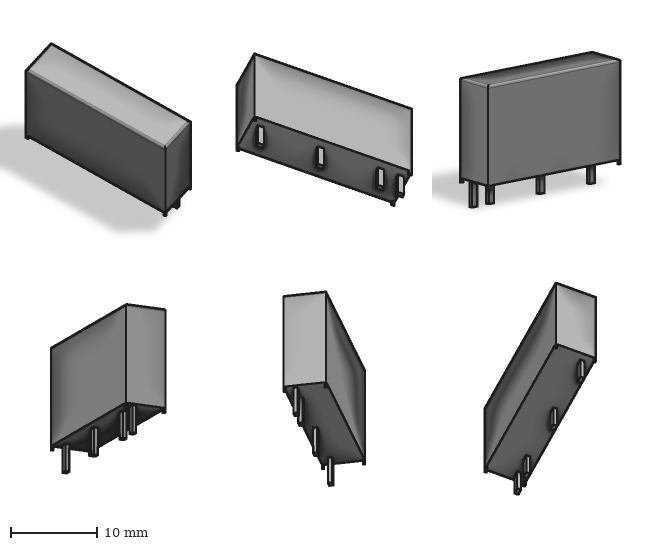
import cadquery as cq

case_length = 20.0
case_width = 5.09
case_top = 12.5
top_edge_radius = 0.3

foot_height = 0.5
left_foot_length = 0.38
right_foot_length = 0.25
foot_width = 0.2

grid = 2.54
pin_grid_steps = (0, 1, 4, 7)
pin_length_x = 0.8
pin_thickness_y = 0.5
pin_tip_z = -2.8
first_pin_from_left = 0.92
pin_row_from_back = 1.3


def make_case():
    """Block above the feet, rounded along its four top edges."""
    block = cq.Workplane("XY").workplane(offset=foot_height).box(
        case_length, case_width, case_top - foot_height, centered=(True, True, False)
    )
    return block.faces(">Z").edges().fillet(top_edge_radius)


def make_foot(side_x, side_y):
    """Foot in one corner; side_x and side_y are -1 or +1."""
    length = left_foot_length if side_x < 0 else right_foot_length
    center_x = side_x * (case_length - length) / 2
    center_y = side_y * (case_width - foot_width) / 2
    return (
        cq.Workplane("XY")
        .center(center_x, center_y)
        .rect(length, foot_width)
        .extrude(foot_height)
    )


def make_pin(grid_step):
    """Flat pin reaching down from the underside of the case."""
    center_x = -case_length / 2 + first_pin_from_left + grid_step * grid
    center_y = case_width / 2 - pin_row_from_back
    return (
        cq.Workplane("XY")
        .workplane(offset=pin_tip_z)
        .center(center_x, center_y)
        .rect(pin_length_x, pin_thickness_y)
        .extrude(foot_height - pin_tip_z)
    )


result = make_case()

for side_x in (-1, 1):
    for side_y in (-1, 1):
        result = result.union(make_foot(side_x, side_y))

for grid_step in pin_grid_steps:
    result = result.union(make_pin(grid_step))